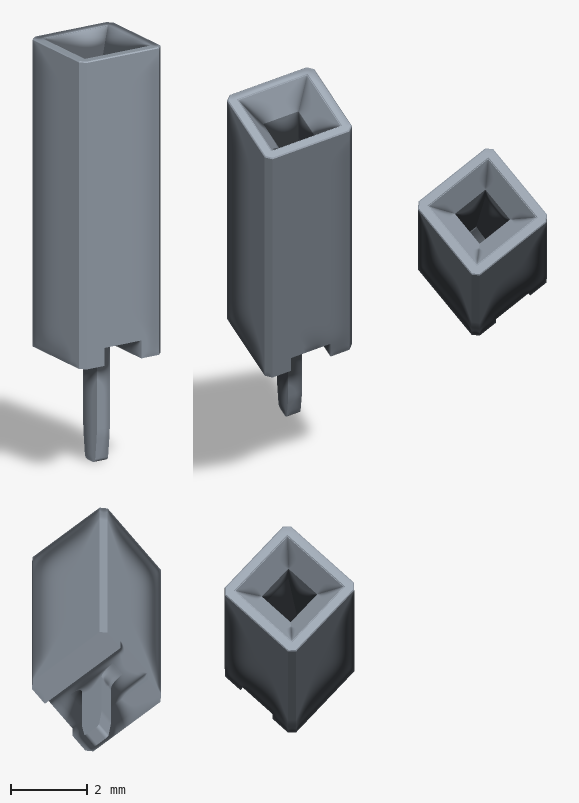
import cadquery as cq

side = 2.54
total_height = 11.5
housing_height = 8.48
corner_chamfer = 0.15
rim_chamfer = 0.029

mouth_side = 2.02
mouth_chamfer = 0.017
bore_side = 1.02
funnel_depth = 0.7
bore_depth = 1.0
throat_depth = 3.16
funnel_bottom_z = housing_height - funnel_depth
bore_bottom_z = funnel_bottom_z - bore_depth
throat_bottom_z = bore_bottom_z - throat_depth

slot_width = 1.15
slot_depth = 0.5

contact_thickness = 0.4
leg_width = 0.65
leg_length = total_height - housing_height
shoulder_radius = 0.38
head_width = leg_width + 2 * shoulder_radius
cup_width = 0.97
cup_radius = 0.76
cup_depth = cup_radius - (cup_radius**2 - (cup_width / 2) ** 2) ** 0.5

tip_width = 0.47
taper_length = 0.8
taper_blend_radius = 2.0
tip_radius = 0.12

edge_margin = 0.01


def make_contact():
    """Flat contact with a dished head top, a leg with rounded shoulders and a tapered tip."""
    head_top_z = throat_bottom_z
    tip_z = -leg_length
    taper_z = tip_z + taper_length
    half_head = head_width / 2
    half_leg = leg_width / 2
    half_cup = cup_width / 2
    half_tip = tip_width / 2
    contact = (
        cq.Workplane("XZ")
        .moveTo(-half_tip, tip_z)
        .lineTo(half_tip, tip_z)
        .lineTo(half_leg, taper_z)
        .lineTo(half_leg, slot_depth - shoulder_radius)
        .radiusArc((half_head, slot_depth), shoulder_radius)
        .lineTo(half_head, head_top_z)
        .lineTo(half_cup, head_top_z)
        .threePointArc((0, head_top_z - cup_depth), (-half_cup, head_top_z))
        .lineTo(-half_head, head_top_z)
        .lineTo(-half_head, slot_depth)
        .radiusArc((-half_leg, slot_depth - shoulder_radius), shoulder_radius)
        .lineTo(-half_leg, taper_z)
        .close()
        .extrude(contact_thickness / 2, both=True)
    )
    for edge_z, radius in ((taper_z, taper_blend_radius), (tip_z, tip_radius)):
        edges = contact.edges("|Y").edges(
            cq.selectors.BoxSelector(
                (-side, -side, edge_z - edge_margin),
                (side, side, edge_z + edge_margin),
            )
        )
        contact = edges.fillet(radius)
    return contact


def make_tapered_hole(bottom_z, depth, bottom_size, top_size):
    """Solid that fills a rectangular hole with flat sloping walls; sizes are (X, Y)."""
    return (
        cq.Workplane("XY", origin=(0, 0, bottom_z))
        .rect(*bottom_size)
        .workplane(offset=depth)
        .rect(*top_size)
        .loft(ruled=True)
    )


def make_housing():
    """Chamfered post with funnel, bore, throat, underside slot and a pocket for the contact head."""
    body = (
        cq.Workplane("XY")
        .rect(side, side)
        .extrude(housing_height)
        .edges("|Z")
        .chamfer(corner_chamfer)
        .faces(">Z")
        .chamfer(rim_chamfer)
    )

    mouth = (mouth_side, mouth_side)
    bore_section = (bore_side, bore_side)
    throat_bottom = (bore_side, contact_thickness)
    funnel = make_tapered_hole(funnel_bottom_z, funnel_depth, bore_section, mouth)
    bore = cq.Workplane("XY", origin=(0, 0, bore_bottom_z)).rect(*bore_section).extrude(bore_depth)
    throat = make_tapered_hole(throat_bottom_z, throat_depth, throat_bottom, bore_section)
    head_pocket = (
        cq.Workplane("XY", origin=(0, 0, slot_depth))
        .rect(head_width, contact_thickness)
        .extrude(throat_bottom_z - slot_depth)
    )
    slot = cq.Workplane("XY").rect(side, slot_width).extrude(slot_depth)

    flared_side = mouth_side + 2 * mouth_chamfer
    mouth_break = make_tapered_hole(
        housing_height - mouth_chamfer, mouth_chamfer, mouth, (flared_side, flared_side)
    )
    for hole in (funnel, mouth_break, bore, throat, head_pocket, slot):
        body = body.cut(hole)
    return body


contact = make_contact()
housing = make_housing()
result = cq.Compound.makeCompound([housing.val(), contact.val()])